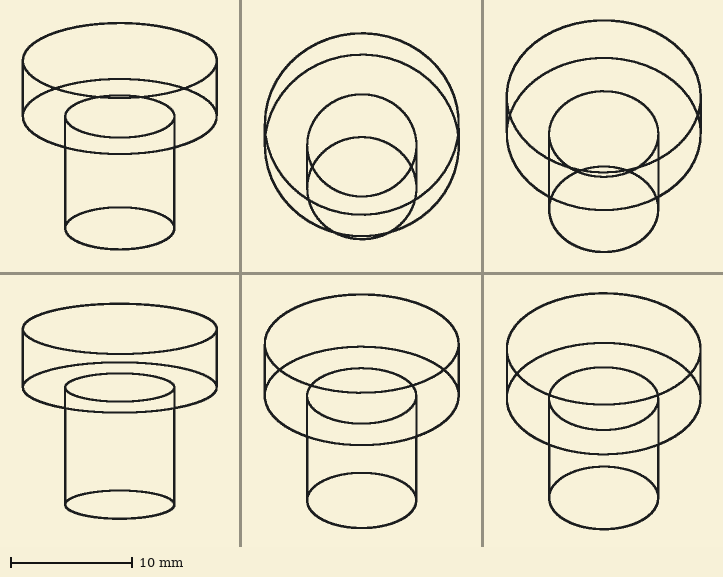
import cadquery as cq

head_diameter = 15.99
stem_diameter = 9.0
total_height = 15.0
head_height = 5.0
stem_height = total_height - head_height

stem = cq.Workplane("XY").circle(stem_diameter / 2).extrude(stem_height)

result = stem.faces(">Z").workplane().circle(head_diameter / 2).extrude(head_height)